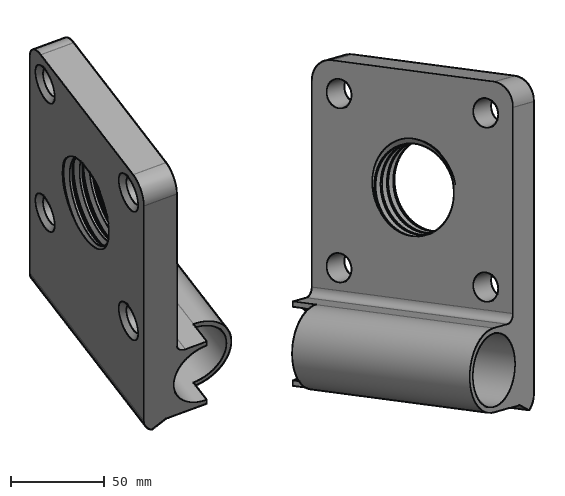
import cadquery as cq
import math

WIDTH = 130.0
HEIGHT = 180.0
THICKNESS = 20.0
TOP_CORNER_RADIUS = 12.5
BOTTOM_Z = -27.3
TOP_Z = BOTTOM_Z + HEIGHT

TUBE_RADIUS = 23.0
BORE_DIAMETER = 40.0
TUBE_AXIS_Y = 38.0
TUBE_LENGTH = 114.8
WEB_FILLET = 5.0

LIP_RADIUS = 10.0
LIP_SWEEP = math.radians(58)
LIP_RAMP_ANGLE = math.radians(26.5)

THREAD_MINOR_RADIUS = 25.0
THREAD_DEPTH = 3.2
THREAD_MAJOR_RADIUS = THREAD_MINOR_RADIUS + THREAD_DEPTH
THREAD_PITCH = 6.0
THREAD_ROOT_WIDTH = THREAD_PITCH / 8
THREAD_CREST_WIDTH = THREAD_PITCH / 4
THREAD_START_ANGLE = -135.0
THREAD_OVERLAP = 1.0
OPENING_DROP = 65.0
OPENING_Z = TOP_Z - OPENING_DROP

MOUNT_SPACING = 94.75
MOUNT_DIAMETER = 16.0
COUNTERSINK_DIAMETER = 22.0
COUNTERSINK_ANGLE = 90.0


def side_profile():
    """Outline of plate, web, tube and lip in the YZ plane."""
    lip_start_z = BOTTOM_Z + LIP_RADIUS * math.sin(LIP_SWEEP)
    tip_y = LIP_RADIUS * (1 - math.cos(LIP_SWEEP))
    mid_y = LIP_RADIUS * (1 - math.cos(LIP_SWEEP / 2))
    mid_z = lip_start_z - LIP_RADIUS * math.sin(LIP_SWEEP / 2)
    ramp_end_y = tip_y + (-TUBE_RADIUS - BOTTOM_Z) / math.tan(LIP_RAMP_ANGLE)
    fillet_mid = WEB_FILLET * (1 - math.sqrt(0.5))
    return (
        cq.Workplane("YZ", origin=(-WIDTH / 2, 0, 0))
        .moveTo(0, TOP_Z)
        .lineTo(0, lip_start_z)
        .threePointArc((mid_y, mid_z), (tip_y, BOTTOM_Z))
        .lineTo(ramp_end_y, -TUBE_RADIUS)
        .lineTo(TUBE_AXIS_Y, -TUBE_RADIUS)
        .threePointArc((TUBE_AXIS_Y + TUBE_RADIUS, 0), (TUBE_AXIS_Y, TUBE_RADIUS))
        .lineTo(THICKNESS + WEB_FILLET, TUBE_RADIUS)
        .threePointArc(
            (THICKNESS + fillet_mid, TUBE_RADIUS + fillet_mid),
            (THICKNESS, TUBE_RADIUS + WEB_FILLET),
        )
        .lineTo(THICKNESS, TOP_Z)
        .close()
    )


def make_body():
    """Full-width body with rounded top corners, the bore, and the tube's back half cut short."""
    body = side_profile().extrude(WIDTH)
    body = body.edges("|Y and >Z").fillet(TOP_CORNER_RADIUS)
    bore = (
        cq.Workplane("YZ", origin=(-WIDTH / 2, 0, 0))
        .center(TUBE_AXIS_Y, 0)
        .circle(BORE_DIAMETER / 2)
        .extrude(WIDTH)
    )
    tube_end_relief = cq.Workplane("XY").box(
        WIDTH - TUBE_LENGTH, TUBE_RADIUS, 2 * TUBE_RADIUS, centered=(False, False, True)
    ).translate((TUBE_LENGTH - WIDTH / 2, TUBE_AXIS_Y, 0))
    return body.cut(bore).cut(tube_end_relief)


def make_thread_groove():
    """Helical groove along +Z, with its root at angle 0 on Z = 0, running past both plate faces."""
    turns_before = 1
    turns_after = math.ceil(THICKNESS / THREAD_PITCH) + 1
    start_z = -turns_before * THREAD_PITCH
    length = (turns_before + turns_after) * THREAD_PITCH
    root_half_width = THREAD_ROOT_WIDTH / 2
    mouth_half_width = (THREAD_PITCH - THREAD_CREST_WIDTH) / 2
    inner_radius = THREAD_MINOR_RADIUS - THREAD_OVERLAP
    helix = cq.Wire.makeHelix(THREAD_PITCH, length, THREAD_MINOR_RADIUS).translate((0, 0, start_z))
    return (
        cq.Workplane("XZ")
        .polyline([
            (inner_radius, start_z - mouth_half_width),
            (THREAD_MINOR_RADIUS, start_z - mouth_half_width),
            (THREAD_MAJOR_RADIUS, start_z - root_half_width),
            (THREAD_MAJOR_RADIUS, start_z + root_half_width),
            (THREAD_MINOR_RADIUS, start_z + mouth_half_width),
            (inner_radius, start_z + mouth_half_width),
        ])
        .close()
        .sweep(cq.Workplane(obj=helix), isFrenet=True)
    )


def cut_threaded_opening(body):
    """Bore the opening through the plate and cut its thread."""
    opening = (
        cq.Workplane("XZ", origin=(0, 0, OPENING_Z))
        .circle(THREAD_MINOR_RADIUS)
        .extrude(-THICKNESS)
    )
    groove = (
        make_thread_groove()
        .rotate((0, 0, 0), (1, 0, 0), -90)
        .rotate((0, 0, 0), (0, 1, 0), -THREAD_START_ANGLE)
        .translate((0, 0, OPENING_Z))
    )
    return body.cut(opening).cut(groove)


def cut_mounting_holes(body):
    """Countersink four through holes from the front face."""
    return (
        body.copyWorkplane(cq.Workplane("XZ", origin=(0, 0, OPENING_Z)))
        .rect(MOUNT_SPACING, MOUNT_SPACING, forConstruction=True)
        .vertices()
        .cskHole(MOUNT_DIAMETER, COUNTERSINK_DIAMETER, COUNTERSINK_ANGLE, depth=THICKNESS)
    )


result = cut_threaded_opening(cut_mounting_holes(make_body()))